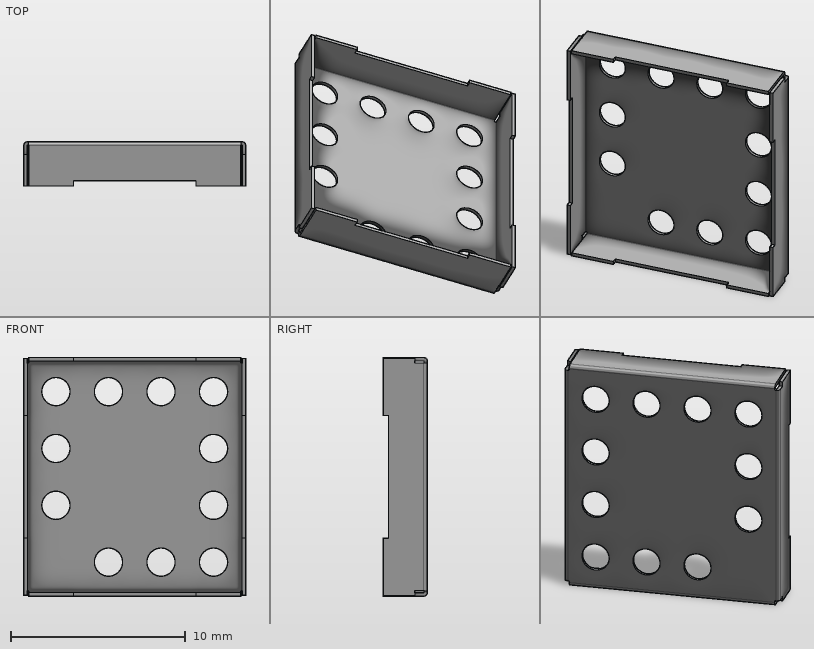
import cadquery as cq

width = 12.7
depth = 2.54
height = 13.66
sheet = 0.2
inner_bend_radius = 0.01
outer_bend_radius = sheet + inner_bend_radius

corner_gap_x = 0.29
corner_gap_z = 0.31
relief_depth = 0.72
relief_corner_radius = 0.05
side_wall_setback = 0.05

cutout_length = 7.0
cutout_depth = 0.3

hole_diameter = 1.6
hole_pitch_x = 3.0
hole_pitch_z = 3.25
holes_per_side = 4

back_y = depth / 2
front_y = -depth / 2


def folded_channel(span, length):
    """U-shaped channel: a back plate with two walls across X, extruded along Z."""
    outer = (
        cq.Workplane("XY")
        .box(span, depth, length)
        .edges("|Z and >Y")
        .fillet(outer_bend_radius)
    )
    inner = (
        cq.Workplane("XY")
        .box(span - 2 * sheet, depth, length)
        .translate((0, -sheet, 0))
        .edges("|Z and >Y")
        .fillet(inner_bend_radius)
    )
    return outer.cut(inner)


def side_walls():
    """Left and right walls, notched at the back of each corner."""
    channel = folded_channel(width, height - 2 * side_wall_setback)
    for end in (-1, 1):
        relief = (
            cq.Workplane("XY")
            .box(width, 2 * relief_depth, 2 * corner_gap_z)
            .translate((0, back_y, end * height / 2))
        )
        channel = channel.cut(relief)
    return channel


def end_walls():
    """Top and bottom walls, bent from the same back plate."""
    channel = folded_channel(height, width - 2 * corner_gap_x)
    return channel.rotate((0, 0, 0), (0, 1, 0), 90)


def edge_cutouts():
    """Bars that clear the middle of the free edges of all four walls."""
    across_x = cq.Workplane("XY").box(width, 2 * cutout_depth, cutout_length)
    across_z = cq.Workplane("XY").box(cutout_length, 2 * cutout_depth, height)
    return across_x.union(across_z).translate((0, front_y, 0))


def vent_holes():
    """Border of a square hole grid, without the lower-left corner hole."""
    last = holes_per_side - 1
    centers = []
    for column in range(holes_per_side):
        for row in range(holes_per_side):
            on_border = column in (0, last) or row in (0, last)
            lower_left = column == 0 and row == 0
            if on_border and not lower_left:
                x = (column - last / 2) * hole_pitch_x
                z = (row - last / 2) * hole_pitch_z
                centers.append((x, z))
    return (
        cq.Workplane("XZ", origin=(0, back_y, 0))
        .pushPoints(centers)
        .circle(hole_diameter / 2)
        .extrude(depth / 2)
    )


def round_relief_corners(cover):
    """Round the inside corners where the side and end bends meet the back plate."""
    reach = relief_corner_radius / 2
    for side in (-1, 1):
        for end in (-1, 1):
            x = side * (width / 2 - corner_gap_x)
            z = end * (height / 2 - corner_gap_z)
            near_corner = cq.selectors.BoxSelector(
                (x - reach, back_y - sheet, z - reach),
                (x + reach, back_y, z + reach),
            )
            cover = cover.edges("|Y").edges(near_corner).fillet(relief_corner_radius)
    return cover


folded_cover = round_relief_corners(side_walls().union(end_walls()))
result = folded_cover.cut(edge_cutouts()).cut(vent_holes())